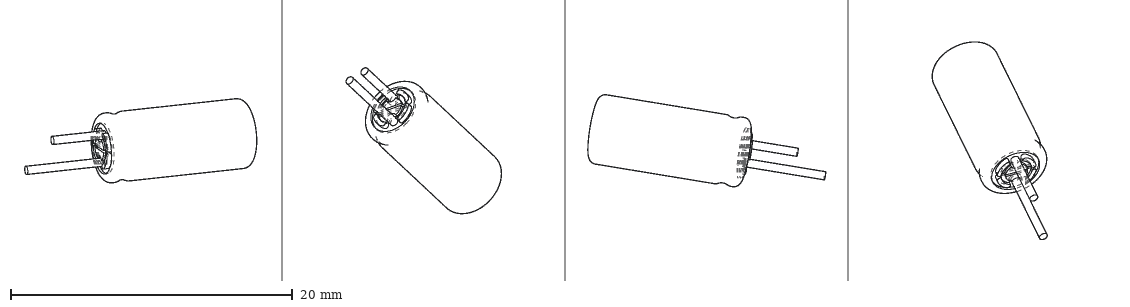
import cadquery as cq
import math


overall_length = 16.8
can_length = 11.0
can_radius = 2.5
can_edge_radius = 0.5

bead_center_y = 1.23
bead_depth = 0.15
bead_valley_half_width = 0.39
bead_shoulder_width = 0.2

recess_radius = 1.81
recess_depth = 0.2

pad_protrusion = 0.2
pad_radius = 1.5
pad_gap = 0.17
pad_corner_radius = 0.2
lead_clearance_radius = 0.47
pad_groove_inner_radius = 0.84
pad_groove_outer_radius = 1.16
pad_groove_depth = 0.2

lead_radius = 0.3
lead_spacing = 2.0
lead_length_difference = 2.0
long_lead_length = overall_length - can_length
short_lead_length = long_lead_length - lead_length_difference


def plane_at(y):
    """XZ plane at the given y whose normal points along -Y, so extrusions run towards the leads."""
    return cq.Workplane("XZ", origin=(0, y, 0))


def make_can():
    """Revolve the can outline: two rounded ends and a bead made of tangent arcs."""
    half_width = bead_valley_half_width + bead_shoulder_width
    bead_angle = 2 * math.atan(bead_depth / half_width)
    valley_radius = bead_valley_half_width / math.sin(bead_angle)
    shoulder_radius = bead_shoulder_width / math.sin(bead_angle)
    valley_floor = can_radius - bead_depth
    tangent_radius = valley_floor + valley_radius * (1 - math.cos(bead_angle))
    shoulder_mid_y = half_width - shoulder_radius * math.sin(bead_angle / 2)
    shoulder_mid_radius = can_radius - shoulder_radius * (1 - math.cos(bead_angle / 2))
    profile = (
        cq.Workplane("XY")
        .lineTo(can_radius, 0)
        .lineTo(can_radius, bead_center_y - half_width)
        .threePointArc(
            (shoulder_mid_radius, bead_center_y - shoulder_mid_y),
            (tangent_radius, bead_center_y - bead_valley_half_width),
        )
        .threePointArc(
            (valley_floor, bead_center_y),
            (tangent_radius, bead_center_y + bead_valley_half_width),
        )
        .threePointArc(
            (shoulder_mid_radius, bead_center_y + shoulder_mid_y),
            (can_radius, bead_center_y + half_width),
        )
        .lineTo(can_radius, can_length)
        .lineTo(0, can_length)
        .close()
    )
    can = profile.revolve(360, (0, 0, 0), (0, 1, 0))
    can = can.faces("<Y or >Y").edges().fillet(can_edge_radius)
    recess = plane_at(recess_depth).circle(recess_radius).extrude(recess_depth)
    return can.cut(recess)


def make_pad():
    """Upper stand-off pad: half disc with a clearance slot for its lead and an annular groove."""
    height = recess_depth + pad_protrusion
    lead_z = lead_spacing / 2
    disc = plane_at(recess_depth).circle(pad_radius).extrude(height)
    upper_half = (
        plane_at(recess_depth)
        .center(0, pad_gap / 2 + pad_radius / 2)
        .rect(2 * pad_radius, pad_radius)
        .extrude(height)
    )
    slot_bottom = (
        plane_at(recess_depth)
        .center(0, lead_z)
        .circle(lead_clearance_radius)
        .extrude(height)
    )
    slot_sides = (
        plane_at(recess_depth)
        .center(0, lead_z + pad_radius / 2)
        .rect(2 * lead_clearance_radius, pad_radius)
        .extrude(height)
    )
    pad = disc.intersect(upper_half).cut(slot_bottom).cut(slot_sides)
    rim_corners = pad.edges("|Y").filter(
        lambda edge: math.hypot(edge.Center().x, edge.Center().z) > pad_groove_outer_radius
    )
    pad = rim_corners.fillet(pad_corner_radius)
    groove = (
        plane_at(pad_groove_depth - pad_protrusion)
        .circle(pad_groove_outer_radius)
        .circle(pad_groove_inner_radius)
        .extrude(pad_groove_depth)
    )
    return pad.cut(groove)


def make_lead(z, length):
    """Round lead rooted in the seal, ending `length` beyond the can's open end."""
    return plane_at(recess_depth).center(0, z).circle(lead_radius).extrude(recess_depth + length)


upper_pad = make_pad()
lower_pad = upper_pad.mirror("XY")
result = (
    make_can()
    .union(upper_pad)
    .union(lower_pad)
    .union(make_lead(lead_spacing / 2, short_lead_length))
    .union(make_lead(-lead_spacing / 2, long_lead_length))
)